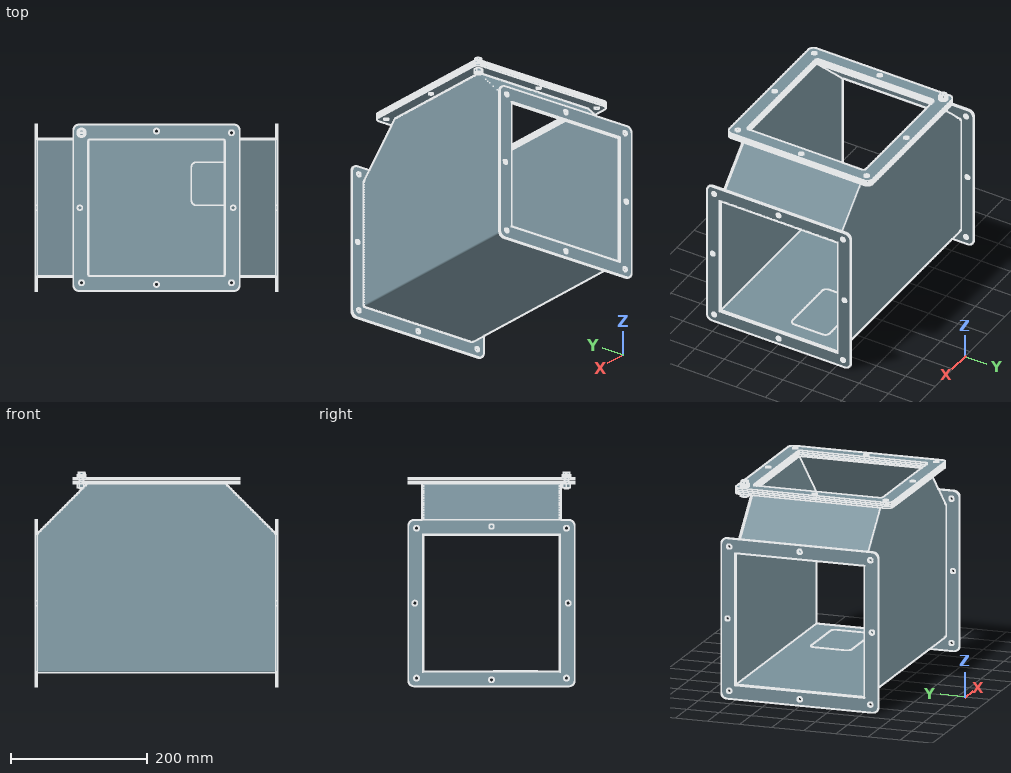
import cadquery as cq

length = 355.5
duct_width = 204.0
sheet = 2.5
half_duct = duct_width / 2
edge_radius = 3.0

flange_size = 244.3
flange_thickness = 3.0
flange_corner_radius = 9.0
flange_opening = 201.3
branch_opening_radius = 4.3
flange_gap = 3.0
corner_hole_offset = 110.0
middle_hole_offset = 112.5
hole_diameter = 7.0

flange_face = length / 2
duct_end = flange_face - flange_thickness
counter_flange_bottom = flange_face + flange_gap
counter_flange_top = counter_flange_bottom + flange_thickness

overall_height = 314.5
screw_diameter = 6.5
screw_tip_diameter = 5.0
screw_tip_length = 1.5
collar_diameter = 12.8
collar_thickness = 2.0
head_across_corners = 10.3
slot_width = 1.5
slot_depth = 1.8
washer_thickness = 2.0
nut_across_corners = 12.8
nut_height = 5.7
head_top = overall_height - flange_size / 2
collar_bottom = counter_flange_top + washer_thickness
head_bottom = collar_bottom + collar_thickness
nut_bottom = duct_end - nut_height

label_length = 99.5
label_width = 63.3
label_thickness = 0.5
label_corner_radius = 7.0
label_start_x = 51.2
label_center_y = 35.2


def disc(diameter, bottom, height):
    return cq.Workplane("XY").workplane(offset=bottom).circle(diameter / 2).extrude(height)


def hexagon(across_corners, bottom, height):
    return cq.Workplane("XY").workplane(offset=bottom).polygon(6, across_corners).extrude(height)


def tapered_prism(half_width):
    """Tube and branch as one prism along Y, with square ends on all three openings."""
    outline = [
        (-duct_end, -half_width),
        (duct_end, -half_width),
        (duct_end, half_width),
        (half_width, duct_end),
        (-half_width, duct_end),
        (-duct_end, half_width),
    ]
    return cq.Workplane("XZ").polyline(outline).close().extrude(half_width, both=True)


def make_duct():
    outside = tapered_prism(half_duct)
    long_edges = outside.faces("<Z").edges("|X").add(outside.faces("<Y or >Y").edges("not(|X or |Z)"))
    return long_edges.fillet(edge_radius).cut(tapered_prism(half_duct - sheet))


def make_flange(opening_radius):
    """Flange lying on the XY plane, centred on the origin."""
    plate = cq.Workplane("XY").rect(flange_size, flange_size).extrude(flange_thickness)
    plate = plate.edges("|Z").fillet(flange_corner_radius)
    opening = cq.Workplane("XY").rect(flange_opening, flange_opening).extrude(flange_thickness)
    if opening_radius > 0:
        opening = opening.edges("|Z").fillet(opening_radius)
    corner_pitch = 2 * corner_hole_offset
    corner_holes = (
        cq.Workplane("XY")
        .rect(corner_pitch, corner_pitch, forConstruction=True)
        .vertices()
        .circle(hole_diameter / 2)
        .extrude(flange_thickness)
    )
    middle_holes = (
        cq.Workplane("XY")
        .polarArray(middle_hole_offset, 0, 360, 4)
        .circle(hole_diameter / 2)
        .extrude(flange_thickness)
    )
    return plate.cut(opening).cut(corner_holes).cut(middle_holes)


def make_side_flanges():
    upright = make_flange(0).rotate((0, 0, 0), (0, 1, 0), 90)
    return [upright.translate((x, 0, 0)) for x in (-flange_face, duct_end)]


def make_upper_flanges():
    flat = make_flange(branch_opening_radius)
    return [flat.translate((0, 0, z)) for z in (duct_end, counter_flange_bottom)]


def at_corner_hole(body):
    return body.translate((-corner_hole_offset, corner_hole_offset, 0))


def make_screw():
    tip_bottom = nut_bottom - screw_tip_length
    shank = disc(screw_diameter, tip_bottom, collar_bottom - tip_bottom)
    shank = shank.faces("<Z").chamfer((screw_diameter - screw_tip_diameter) / 2)
    collar = disc(collar_diameter, collar_bottom, collar_thickness)
    head = hexagon(head_across_corners, head_bottom, head_top - head_bottom)
    slot = cq.Workplane("XY").box(head_across_corners, slot_width, 2 * slot_depth)
    head = head.cut(slot.translate((0, 0, head_top)))
    return at_corner_hole(shank.union(collar).union(head))


def make_washer():
    washer = disc(collar_diameter, counter_flange_top, washer_thickness)
    bore = disc(screw_diameter, counter_flange_top, washer_thickness)
    return at_corner_hole(washer.cut(bore))


def make_nut():
    nut = hexagon(nut_across_corners, nut_bottom, nut_height)
    return at_corner_hole(nut.cut(disc(screw_diameter, nut_bottom, nut_height)))


def make_label():
    floor = sheet - half_duct
    plate = cq.Workplane("XY").box(label_length, label_width, label_thickness, centered=(False, True, False))
    plate = plate.edges("|Z").fillet(label_corner_radius)
    return plate.translate((label_start_x, label_center_y, floor))


duct = make_duct()
side_flanges = make_side_flanges()
upper_flanges = make_upper_flanges()
screw = make_screw()
washer = make_washer()
nut = make_nut()
label = make_label()

result = cq.Compound.makeCompound(
    [
        duct.val(),
        *[flange.val() for flange in side_flanges],
        *[flange.val() for flange in upper_flanges],
        screw.val(),
        washer.val(),
        nut.val(),
        label.val(),
    ]
)